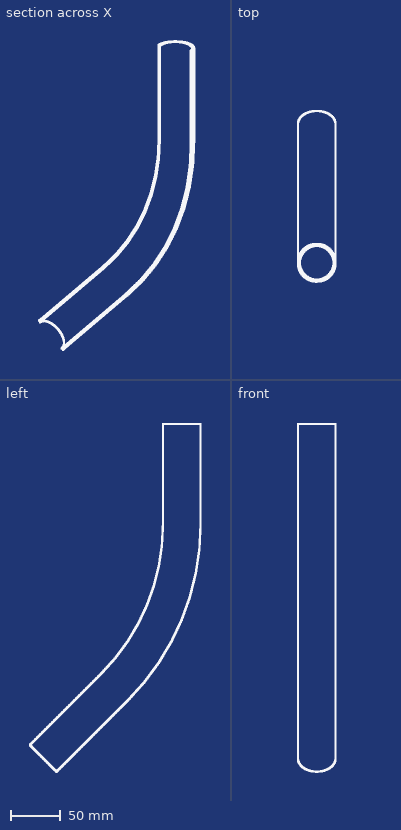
import cadquery as cq
import math

outer_diameter = 38.0
inner_diameter = 33.8
leg_length = 101.0
bend_radius = 230.0
bend_angle = 45.0


def bend_point(angle_degrees):
    """Centreline point (Y, Z) after turning by an angle; the bend starts at the origin."""
    angle = math.radians(angle_degrees)
    return (bend_radius * (1 - math.cos(angle)), -bend_radius * math.sin(angle))


def tube_centreline():
    bend_middle = bend_point(bend_angle / 2)
    bend_end = bend_point(bend_angle)
    slope = math.radians(bend_angle)
    lower_end = (
        bend_end[0] + leg_length * math.sin(slope),
        bend_end[1] - leg_length * math.cos(slope),
    )
    return (
        cq.Workplane("YZ")
        .moveTo(0, leg_length)
        .lineTo(0, 0)
        .threePointArc(bend_middle, bend_end)
        .lineTo(*lower_end)
    )


tube_section = (
    cq.Workplane("XY", origin=(0, 0, leg_length))
    .circle(outer_diameter / 2)
    .circle(inner_diameter / 2)
)
result = tube_section.sweep(tube_centreline())